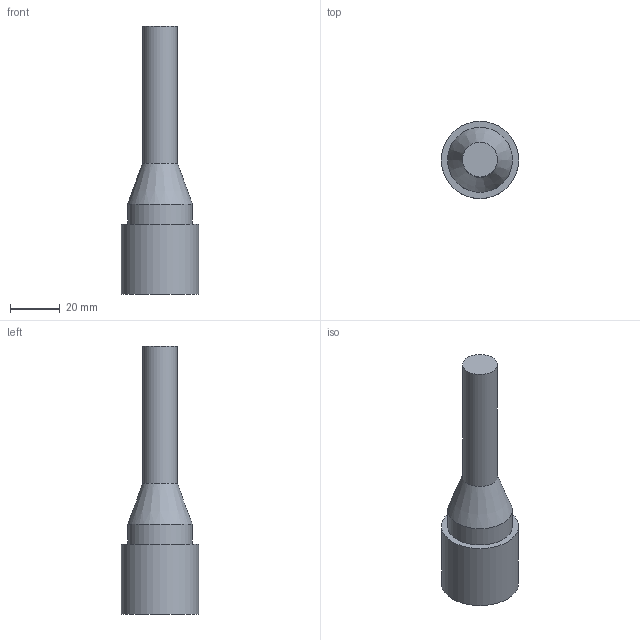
import cadquery as cq

base_diameter = 31.0
collar_diameter = 26.0
shaft_diameter = 14.0

total_height = 107.5
base_height = 28.0
collar_height = 8.0
cone_height = 16.5

collar_bottom = base_height
cone_bottom = collar_bottom + collar_height
shaft_bottom = cone_bottom + cone_height

base_radius = base_diameter / 2
collar_radius = collar_diameter / 2
shaft_radius = shaft_diameter / 2

half_profile = (
    cq.Workplane("XZ")
    .moveTo(0, 0)
    .lineTo(base_radius, 0)
    .lineTo(base_radius, collar_bottom)
    .lineTo(collar_radius, collar_bottom)
    .lineTo(collar_radius, cone_bottom)
    .lineTo(shaft_radius, shaft_bottom)
    .lineTo(shaft_radius, total_height)
    .lineTo(0, total_height)
    .close()
)

result = half_profile.revolve(360, (0, 0, 0), (0, 1, 0))